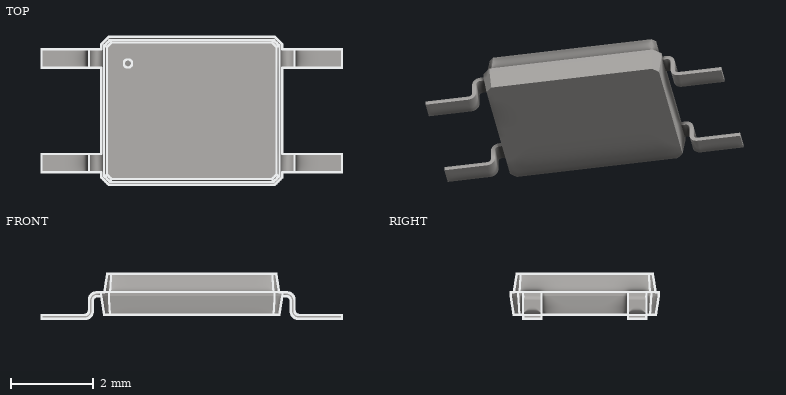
import cadquery as cq
import math

overall_length = 7.3
lead_thickness = 0.1
lead_width = 0.45
lead_pitch = 2.54
bend_inner_radius = 0.1
shank_outer_x = 2.5
lead_embed = 0.3

body_length = 4.4
body_width = 3.6
body_bottom = lead_thickness
rim_bottom = 0.55
rim_top = rim_bottom + lead_thickness
body_top = 1.1
corner_chamfer = 0.185
draft_angle = 9.0
cap_inset = 0.075

dimple_diameter = 0.2
dimple_depth = 0.05
dimple_x = -1.55
dimple_y = 1.15


def chamfered_slab(inset, base_z, height, taper):
    """Extrude the body outline, moved inwards by inset, with its corners cut at 45 degrees."""
    chamfer = corner_chamfer - inset * (2 - math.sqrt(2))
    outline = (
        cq.Sketch()
        .rect(body_length - 2 * inset, body_width - 2 * inset)
        .vertices()
        .chamfer(chamfer)
    )
    return cq.Workplane("XY").workplane(offset=base_z).placeSketch(outline).extrude(height, taper=taper)


def make_body():
    """Join the drafted base, the straight rim and the narrower drafted cap."""
    base = chamfered_slab(0, rim_bottom, body_bottom - rim_bottom, draft_angle)
    rim = chamfered_slab(0, rim_bottom, rim_top - rim_bottom, 0)
    cap = chamfered_slab(cap_inset, rim_top, body_top - rim_top, draft_angle)
    return base.union(rim).union(cap)


def make_lead():
    """Make the S-bent lead on the +X side, centred on Y = 0."""
    foot_end = overall_length / 2
    root_x = body_length / 2 - lead_embed
    shank_inner_x = shank_outer_x - lead_thickness
    lower_bend_x = shank_outer_x + bend_inner_radius
    lower_bend_z = lead_thickness + bend_inner_radius
    upper_bend_x = shank_inner_x - bend_inner_radius
    upper_bend_z = rim_top - lead_thickness - bend_inner_radius
    inner = bend_inner_radius
    outer = bend_inner_radius + lead_thickness
    diagonal = math.sqrt(0.5)

    def lower_arc_middle(radius):
        return lower_bend_x - radius * diagonal, lower_bend_z - radius * diagonal

    def upper_arc_middle(radius):
        return upper_bend_x + radius * diagonal, upper_bend_z + radius * diagonal

    return (
        cq.Workplane("XZ")
        .moveTo(foot_end, 0)
        .lineTo(lower_bend_x, 0)
        .threePointArc(lower_arc_middle(outer), (shank_inner_x, lower_bend_z))
        .lineTo(shank_inner_x, upper_bend_z)
        .threePointArc(upper_arc_middle(inner), (upper_bend_x, rim_bottom))
        .lineTo(root_x, rim_bottom)
        .lineTo(root_x, rim_top)
        .lineTo(upper_bend_x, rim_top)
        .threePointArc(upper_arc_middle(outer), (shank_outer_x, upper_bend_z))
        .lineTo(shank_outer_x, lower_bend_z)
        .threePointArc(lower_arc_middle(inner), (lower_bend_x, lead_thickness))
        .lineTo(foot_end, lead_thickness)
        .close()
        .extrude(lead_width / 2, both=True)
    )


def make_dimple():
    """Make the shallow round cutter that marks pin one."""
    return (
        cq.Workplane("XY")
        .workplane(offset=body_top - dimple_depth)
        .center(dimple_x, dimple_y)
        .circle(dimple_diameter / 2)
        .extrude(dimple_depth)
    )


result = make_body().cut(make_dimple())
right_lead = make_lead()
left_lead = right_lead.mirror("YZ")
for lead_y in (-lead_pitch / 2, lead_pitch / 2):
    for lead in (right_lead, left_lead):
        placed_lead = lead.translate((0, lead_y, 0))
        result = result.cut(placed_lead).union(placed_lead, clean=False)